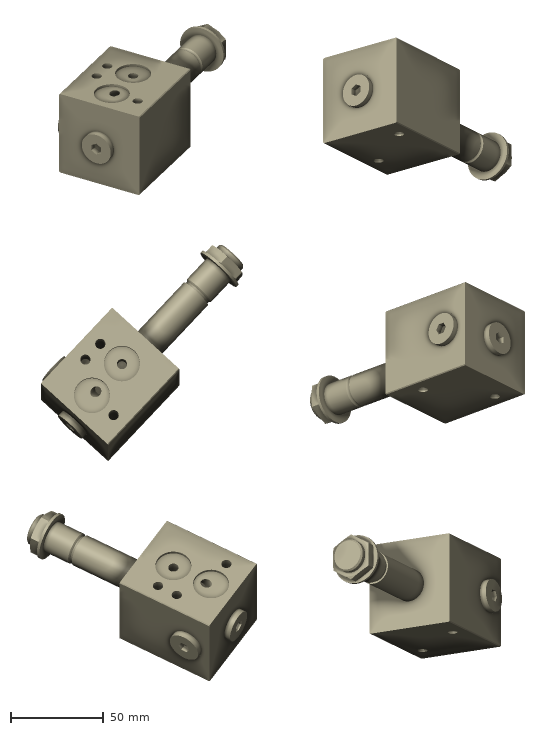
import cadquery as cq
import math

BLOCK_WIDTH = 50.0
BLOCK_HEIGHT = 50.0
BLOCK_LENGTH = 57.0
EDGE_CHAMFER = 0.5
TOP_Z = BLOCK_HEIGHT / 2
LEFT_X = -BLOCK_WIDTH / 2

FRONT_ROW_Y = 14.0
REAR_ROW_Y = 38.0
VALVE_AXIS_Z = -1.0
BOLT_HOLE_X = 16.0

RECESS_DIA = 19.5
PORT_RECESS_DEPTH = 1.5
DRILL_DIA = 5.6
PORT_DRILL_DEPTH = 6.6
SLANT_ANGLE = 30
SLANT_OFFSET_Y = 3.1
PIN_HOLE_Y = 26.0
PIN_HOLE_DEPTH = 13.0
DRILL_POINT_ANGLE = 118

SEAT_DEPTH = 0.1
PLUG_HEAD_DIA = 18.0
PLUG_PROTRUSION = 3.5
PLUG_SHANK_DIA = 13.2
PLUG_SHANK_LENGTH = 12.0
SOCKET_FLATS = 6.0
SOCKET_DEPTH = 3.5
FRONT_SOCKET_TURN = 90
SIDE_SOCKET_TURN = 0

TUBE_DIA = 18.0
OVERALL_LENGTH = 129.5
TUBE_END_Y = OVERALL_LENGTH - PLUG_PROTRUSION
TUBE_END_CHAMFER = 0.9
GROOVE_DIA = 16.0
GROOVE_START_Y = 97.0
GROOVE_LENGTH = 1.4
GROOVE_TAPER = (TUBE_DIA - GROOVE_DIA) / 2

FLANGE_DIA = 27.0
FLANGE_START_Y = 115.0
FLANGE_THICKNESS = 1.5
NUT_FLATS = 22.0
NUT_LENGTH = 5.8
NUT_BEVEL_ANGLE = 15


def hexagon_diameter(across_flats):
    """Diameter across the corners of a hexagon."""
    return across_flats / math.cos(math.radians(30))


def plane_along_y(y, z=0):
    """Plane whose normal is +Y and whose local X is the part's +X."""
    return cq.Plane(origin=(0, y, z), xDir=(1, 0, 0), normal=(0, 1, 0))


FRONT_SEAT = cq.Plane(origin=(0, 0, VALVE_AXIS_Z), xDir=(1, 0, 0), normal=(0, -1, 0))
SIDE_SEAT = cq.Plane(origin=(LEFT_X, FRONT_ROW_Y, 0), xDir=(0, -1, 0), normal=(-1, 0, 0))


def drilled_hole(x, y, depth):
    """Cutter for a hole drilled down from the top face, with a conical bottom."""
    radius = DRILL_DIA / 2
    tip_length = radius / math.tan(math.radians(DRILL_POINT_ANGLE / 2))
    profile = [(0, 0), (radius, 0), (radius, -depth), (0, -depth - tip_length)]
    hole = cq.Workplane("XZ").polyline(profile).close().revolve(360, (0, 0), (0, 1))
    return hole.translate((x, y, TOP_Z))


def port_recess(y):
    """Cutter for the shallow round recess of a port in the top face."""
    return cq.Workplane(origin=(0, y, TOP_Z)).circle(RECESS_DIA / 2).extrude(-PORT_RECESS_DEPTH)


def rear_port():
    """Cutter for the port with a straight, flat-bottomed drilling."""
    floor = cq.Workplane(origin=(0, REAR_ROW_Y, TOP_Z - PORT_RECESS_DEPTH))
    return port_recess(REAR_ROW_Y).union(floor.circle(DRILL_DIA / 2).extrude(-PORT_DRILL_DEPTH))


def front_port():
    """Cutter for the port whose drilling slants down toward the rear."""
    slant = math.radians(SLANT_ANGLE)
    upward = cq.Vector(0, -math.sin(slant), math.cos(slant))
    entry = cq.Vector(0, FRONT_ROW_Y + SLANT_OFFSET_Y, TOP_Z - PORT_RECESS_DEPTH)
    overrun = DRILL_DIA / 2 * math.tan(slant)
    bottom = entry - upward * PORT_DRILL_DEPTH
    drilling = cq.Solid.makeCylinder(DRILL_DIA / 2, PORT_DRILL_DEPTH + overrun, bottom, upward)
    return port_recess(FRONT_ROW_Y).union(cq.Workplane(drilling))


def plug_seat(seat):
    """Cutter for a shallow plug seat and the bore that holds its shank."""
    recess = cq.Workplane(seat).circle(RECESS_DIA / 2).extrude(-SEAT_DEPTH)
    bore_depth = SEAT_DEPTH + PLUG_SHANK_LENGTH
    bore = cq.Workplane(seat).circle(PLUG_SHANK_DIA / 2).extrude(-bore_depth)
    return recess.union(bore)


def make_tube():
    """Solenoid tube with its tapered groove and chamfered tip."""
    outer = TUBE_DIA / 2
    inner = GROOVE_DIA / 2
    taper_y = GROOVE_START_Y + GROOVE_LENGTH
    profile = [
        (0, BLOCK_LENGTH),
        (outer, BLOCK_LENGTH),
        (outer, GROOVE_START_Y),
        (inner, GROOVE_START_Y),
        (inner, taper_y),
        (outer, taper_y + GROOVE_TAPER),
        (outer, TUBE_END_Y - TUBE_END_CHAMFER),
        (outer - TUBE_END_CHAMFER, TUBE_END_Y),
        (0, TUBE_END_Y),
    ]
    tube = cq.Workplane("XY").polyline(profile).close().revolve(360, (0, 0), (0, 1))
    return tube.translate((0, 0, VALVE_AXIS_Z))


def make_nut():
    """Flange and hexagon nut with the corners bevelled at both ends of the hexagon."""
    flange = cq.Workplane(plane_along_y(FLANGE_START_Y, VALVE_AXIS_Z))
    flange = flange.circle(FLANGE_DIA / 2).extrude(FLANGE_THICKNESS)

    start_y = FLANGE_START_Y + FLANGE_THICKNESS
    end_y = start_y + NUT_LENGTH
    corner_dia = hexagon_diameter(NUT_FLATS)
    hexagon = cq.Workplane(plane_along_y(start_y, VALVE_AXIS_Z)).transformed(rotate=(0, 0, 90))
    hexagon = hexagon.polygon(6, corner_dia).extrude(NUT_LENGTH)

    bevel = (corner_dia - NUT_FLATS) / 2 * math.tan(math.radians(NUT_BEVEL_ANGLE))
    envelope_profile = [
        (0, start_y),
        (NUT_FLATS / 2, start_y),
        (corner_dia / 2, start_y + bevel),
        (corner_dia / 2, end_y - bevel),
        (NUT_FLATS / 2, end_y),
        (0, end_y),
    ]
    envelope = cq.Workplane("XY").polyline(envelope_profile).close().revolve(360, (0, 0), (0, 1))
    return flange.union(hexagon.intersect(envelope.translate((0, 0, VALVE_AXIS_Z))))


def make_housing():
    """Valve block with its ports, holes and plug seats, carrying the tube and nut."""
    block = cq.Workplane(plane_along_y(0)).rect(BLOCK_WIDTH, BLOCK_HEIGHT).extrude(BLOCK_LENGTH)
    block = block.edges("|Y").chamfer(EDGE_CHAMFER)

    for cutter in (rear_port(), front_port(), plug_seat(FRONT_SEAT), plug_seat(SIDE_SEAT)):
        block = block.cut(cutter)
    for x, y in ((-BOLT_HOLE_X, REAR_ROW_Y), (BOLT_HOLE_X, FRONT_ROW_Y)):
        block = block.cut(drilled_hole(x, y, BLOCK_HEIGHT))
    block = block.cut(drilled_hole(-BOLT_HOLE_X, PIN_HOLE_Y, PIN_HOLE_DEPTH))

    return block.union(make_tube()).union(make_nut())


def make_plug(seat, socket_turn):
    """Screw plug filling the given seat's bore, with its socket turned about the plug axis."""
    head = cq.Workplane(seat).workplane(offset=-SEAT_DEPTH)
    head = head.circle(PLUG_HEAD_DIA / 2).extrude(SEAT_DEPTH + PLUG_PROTRUSION)
    shank = cq.Workplane(seat).workplane(offset=-SEAT_DEPTH)
    shank = shank.circle(PLUG_SHANK_DIA / 2).extrude(-PLUG_SHANK_LENGTH)
    socket = cq.Workplane(seat).workplane(offset=PLUG_PROTRUSION)
    socket = socket.transformed(rotate=(0, 0, socket_turn))
    socket = socket.polygon(6, hexagon_diameter(SOCKET_FLATS)).extrude(-SOCKET_DEPTH)
    return head.union(shank).cut(socket)


housing = make_housing()
plugs = [
    make_plug(seat, turn)
    for seat, turn in ((FRONT_SEAT, FRONT_SOCKET_TURN), (SIDE_SEAT, SIDE_SOCKET_TURN))
]
result = cq.Compound.makeCompound([housing.val(), *[plug.val() for plug in plugs]])